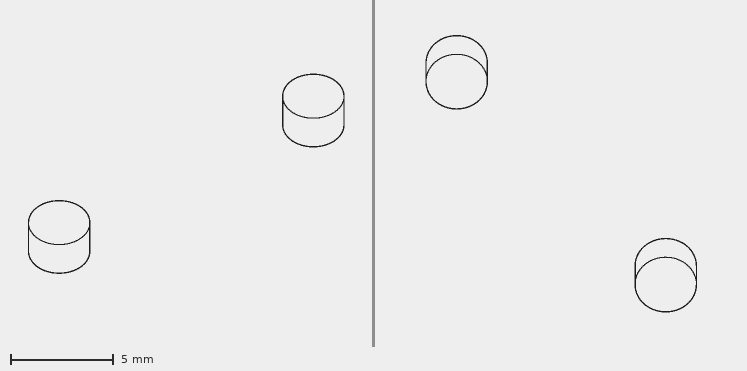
import cadquery as cq

overall_length = 18.02
pin_diameter = 3.0
pin_height = 2.0

pin_spacing = overall_length - pin_diameter
pin_positions = [-pin_spacing / 2, pin_spacing / 2]


def make_pin(y_position):
    """Plain upright cylinder standing on the XY plane."""
    return cq.Workplane("XY").center(0, y_position).circle(pin_diameter / 2).extrude(pin_height)


pins = [make_pin(y_position) for y_position in pin_positions]

result = cq.Compound.makeCompound([pin.val() for pin in pins])